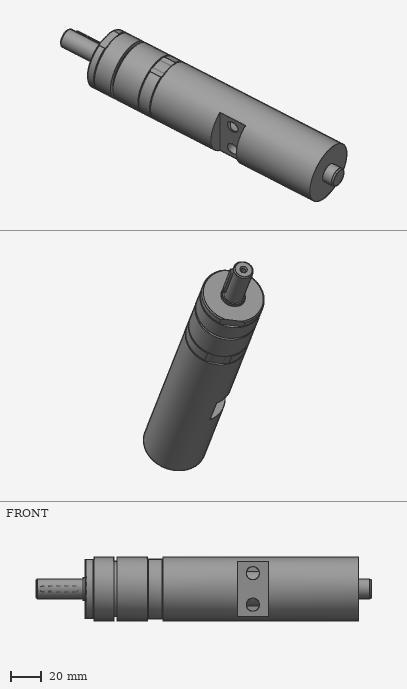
import cadquery as cq
import math

total_length = 217.5
body_diameter = 41.5
body_radius = body_diameter / 2

shaft_diameter = 13.0
shaft_chamfer = 0.9
collar_diameter = 15.0
collar_bore_diameter = 16.0
collar_bore_depth = 1.0
collar_start = 30.5
key_start = 2.6
key_length = 24.8
key_width = 4.0
key_height = 1.3
key_seat = 2.2
centre_hole_diameter = 3.3
centre_hole_depth = 8.7
drill_point_angle = 120.0
countersink_diameter = 4.8
countersink_angle = 60.0

body_start = 31.5
body_end = 209.2
nose_end = 37.6
front_edge_chamfer = 0.9
flat_height = 19.1
groove_start = 50.5
groove_width = 2.0
groove_diameter = 36.0
band_start = 72.2
band_end = 82.2
sleeve_diameter = 39.2
relief_width = 0.7
relief_depth = 0.2

pocket_start = 130.5
pocket_length = 20.2
pocket_floor = 10.7
port_diameter = 8.5
port_offset = 10.2
port_end = -2.6
core_diameter = 23.0

stub_diameter = 13.0
stub_chamfer_length = 1.3
stub_chamfer_depth = 0.7


def cylinder(start, end, diameter):
    """Solid cylinder along the X axis."""
    return cq.Workplane("YZ", origin=(start, 0, 0)).circle(diameter / 2).extrude(end - start)


def groove_ring(start, width, floor_diameter):
    """Ring of material outside floor_diameter, for turning a groove into the body."""
    outside = cylinder(start, start + width, 2 * body_diameter)
    return outside.cut(cylinder(start, start + width, floor_diameter))


def wrench_flats(start, end):
    """Material outside two flats facing +Z and -Z."""
    side = body_diameter
    length = end - start
    centre = (start + end) / 2
    offset = flat_height + side / 2
    upper = cq.Workplane("XY").box(length, side, side).translate((centre, 0, offset))
    return upper.union(upper.mirror("XY"))


def make_body():
    body = cylinder(body_start, body_end, body_diameter).faces("<X").chamfer(front_edge_chamfer)
    body = body.cut(groove_ring(groove_start, groove_width, groove_diameter))
    for start in (nose_end - relief_width, band_start, band_end - relief_width):
        body = body.cut(groove_ring(start, relief_width, body_diameter - 2 * relief_depth))
    body = body.cut(wrench_flats(body_start, nose_end))
    body = body.cut(wrench_flats(band_start, band_end))
    body = body.union(cylinder(band_start, band_end, sleeve_diameter))
    return body.cut(cylinder(body_start, body_start + collar_bore_depth, collar_bore_diameter))


def make_centre_hole():
    """Countersunk hole in the shaft tip, ending in a drill point, revolved about the X axis."""
    hole_radius = centre_hole_diameter / 2
    sink_radius = countersink_diameter / 2
    sink_depth = (sink_radius - hole_radius) / math.tan(math.radians(countersink_angle / 2))
    point_length = hole_radius / math.tan(math.radians(drill_point_angle / 2))
    outline = [
        (0, 0),
        (0, sink_radius),
        (sink_depth, hole_radius),
        (centre_hole_depth, hole_radius),
        (centre_hole_depth + point_length, 0),
    ]
    return cq.Workplane("XY").polyline(outline).close().revolve(360, (0, 0, 0), (1, 0, 0))


def make_drive_shaft():
    shaft_end = body_start + collar_bore_depth
    shaft = cylinder(0, shaft_end, shaft_diameter).faces("<X").chamfer(shaft_chamfer)
    shaft = shaft.union(cylinder(collar_start, shaft_end, collar_diameter))
    key_bottom = shaft_diameter / 2 - key_seat
    key = (
        cq.Workplane("XZ", origin=(key_start + key_length / 2, key_bottom, 0))
        .slot2D(key_length, key_width)
        .extrude(-(key_seat + key_height))
    )
    return shaft.union(key).cut(make_centre_hole())


def make_port_pocket():
    """Rectangular pocket with two blind ports that run into the inner core."""
    pocket_centre = pocket_start + pocket_length / 2
    pocket_depth = body_radius - pocket_floor
    pocket = cq.Workplane("XY").box(pocket_length, pocket_depth, body_diameter)
    pocket = pocket.translate((pocket_centre, -pocket_floor - pocket_depth / 2, 0))
    ports = (
        cq.Workplane("XZ", origin=(pocket_centre, port_end, 0))
        .pushPoints([(0, port_offset), (0, -port_offset)])
        .circle(port_diameter / 2)
        .extrude(port_end + pocket_floor)
    )
    core = cylinder(pocket_start, pocket_start + pocket_length, core_diameter)
    return pocket.union(ports.cut(core))


def make_stub():
    stub = cylinder(body_end, total_length, stub_diameter)
    return stub.faces(">X").chamfer(stub_chamfer_length, stub_chamfer_depth)


result = make_body().cut(make_port_pocket()).union(make_drive_shaft()).union(make_stub())